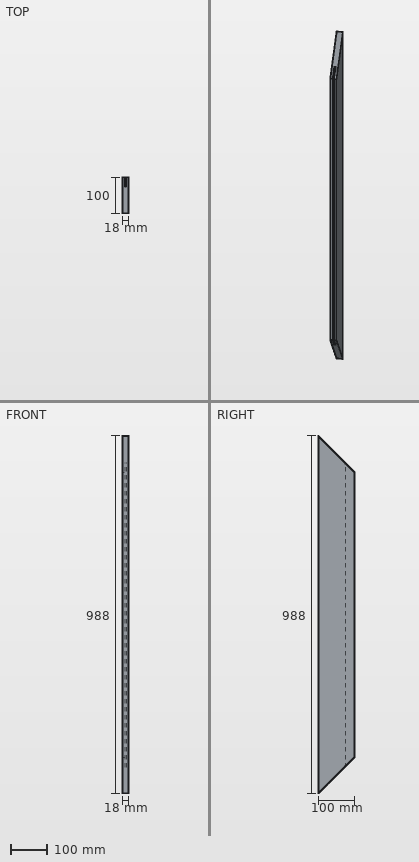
import cadquery as cq

thickness = 18.0
width = 100.0
length = 988.0

groove_width = 4.0
groove_depth = 26.0

front_y = -width / 2
back_y = width / 2
half_length = length / 2
short_half_length = half_length - width


def mitred_board():
    outline = [
        (front_y, -half_length),
        (back_y, -short_half_length),
        (back_y, short_half_length),
        (front_y, half_length),
    ]
    return cq.Workplane("YZ").polyline(outline).close().extrude(thickness / 2, both=True)


def edge_groove():
    groove_center_y = back_y - groove_depth / 2
    return cq.Workplane("XY").box(groove_width, groove_depth, length).translate((0, groove_center_y, 0))


result = mitred_board().cut(edge_groove())